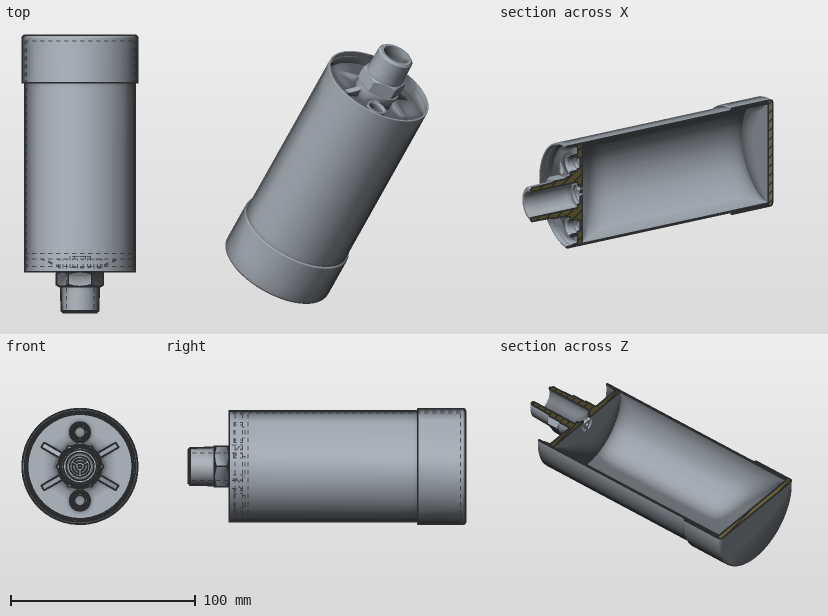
import cadquery as cq
import math

length = 150.0

cap_diameter = 62.5
cap_length = 25.8
cap_end_thickness = 3.0
cap_end_fillet = 1.8
cap_mouth_fillet = 0.5

tube_diameter = 60.0
tube_bore = 58.2
tube_front = 22.0
tube_rim_fillet = 0.3

dish_rim_setback = 3.0
dish_floor_setback = 7.0
dish_mouth_diameter = 57.6
dish_floor_diameter = 56.5
plate_thickness = 3.0

hub_diameter = 23.7
hexagon_across_flats = 22.0
hexagon_front = 14.1
hexagon_back = 22.0
hexagon_chamfer_angle = 30
nipple_root_diameter = 21.0
nipple_tip_diameter = 20.1
nipple_chamfer = 1.0

nipple_bore = 15.0
throat_diameter = 11.0
spider_outer_diameter = 8.4
spider_hub_diameter = 4.8
spider_hole_diameter = 2.0
spider_arm_width = 1.4
spider_arm_count = 3
first_arm_angle = 90
spider_thickness = 1.5

boss_diameter = 11.0
boss_mouth_diameter = 9.3
boss_bore_diameter = 8.0
boss_hole_diameter = 6.0
boss_hole_depth = 1.5
boss_offset = 18.5
boss_height = 4.6
rib_count = 6
first_rib_angle = 30
rib_width = 3.0
rib_reach = 23.2
rib_height = 4.8

tube_back = length - cap_end_thickness
dish_floor = tube_front + dish_floor_setback
dish_rim = tube_front + dish_rim_setback
plate_back = dish_floor + plate_thickness


def revolve_about_y(points):
    """Turn an outline of (radius, Y) points about the Y axis."""
    return cq.Workplane("XY").polyline(points).close().revolve(360, (0, 0, 0), (0, 1, 0))


def rod(diameter, y_start, y_end, z=0):
    """Cylinder along Y, with its axis at height z."""
    return (
        cq.Workplane("XZ", origin=(0, y_start, z))
        .circle(diameter / 2)
        .extrude(y_start - y_end)
    )


def make_cap():
    cap_front = length - cap_length
    cap = rod(cap_diameter, cap_front, length)
    cap = cap.faces(">Y").edges().fillet(cap_end_fillet)
    cap = cap.faces("<Y").edges().fillet(cap_mouth_fillet)
    return cap.cut(rod(tube_diameter, cap_front, tube_back))


def make_tube():
    tube = rod(tube_diameter, tube_front, tube_back).faces("<Y").edges().fillet(tube_rim_fillet)
    return tube.cut(rod(tube_bore, tube_front, tube_back))


def make_dish():
    return revolve_about_y([
        (0, dish_floor),
        (dish_floor_diameter / 2, dish_floor),
        (dish_mouth_diameter / 2, dish_rim),
        (tube_bore / 2, dish_rim),
        (tube_bore / 2, plate_back),
        (0, plate_back),
    ])


def make_hexagon():
    """Hexagon with flats facing +Z and -Z, its corners chamfered at both ends."""
    corner_diameter = hexagon_across_flats / math.cos(math.radians(30))
    hexagon = (
        cq.Workplane("XZ", origin=(0, hexagon_front, 0))
        .polygon(6, corner_diameter)
        .extrude(hexagon_front - hexagon_back)
    )
    corner = corner_diameter / 2
    face = hexagon_across_flats / 2
    chamfer_height = (corner - face) * math.tan(math.radians(hexagon_chamfer_angle))
    envelope = revolve_about_y([
        (0, hexagon_front),
        (face, hexagon_front),
        (corner, hexagon_front + chamfer_height),
        (corner, hexagon_back - chamfer_height),
        (face, hexagon_back),
        (0, hexagon_back),
    ])
    return hexagon.intersect(envelope)


def make_nipple():
    """Tapered nipple with a chamfered tip."""
    tip = nipple_tip_diameter / 2
    return revolve_about_y([
        (0, 0),
        (tip - nipple_chamfer, 0),
        (tip, nipple_chamfer),
        (nipple_root_diameter / 2, hexagon_front),
        (0, hexagon_front),
    ])


def make_rib(angle):
    """Triangular rib that slopes from the hub down to the dish floor."""
    return (
        cq.Workplane("XY", origin=(0, 0, -rib_width / 2))
        .polyline([
            (0, dish_floor),
            (rib_reach, dish_floor),
            (hub_diameter / 2, dish_floor - rib_height),
            (0, dish_floor - rib_height),
        ])
        .close()
        .extrude(rib_width)
        .rotate((0, 0, 0), (0, 1, 0), angle)
    )


def make_boss_hole(z):
    """Countersunk bore down to the dish floor, with a smaller blind hole beyond it."""
    boss_front = dish_floor - boss_height
    mouth = boss_mouth_diameter / 2
    bore = boss_bore_diameter / 2
    hole = boss_hole_diameter / 2
    return revolve_about_y([
        (0, boss_front),
        (mouth, boss_front),
        (bore, boss_front + mouth - bore),
        (bore, dish_floor),
        (hole, dish_floor),
        (hole, dish_floor + boss_hole_depth),
        (0, dish_floor + boss_hole_depth),
    ]).translate((0, 0, z))


def make_spider():
    """Cutter for the slots and centre hole of the spider at the end of the passage."""
    spider_front = plate_back - spider_thickness
    slots = rod(spider_outer_diameter, spider_front, plate_back)
    slots = slots.cut(rod(spider_hub_diameter, spider_front, plate_back))
    for index in range(spider_arm_count):
        arm = (
            cq.Workplane("XY")
            .box(spider_outer_diameter / 2, spider_thickness, spider_arm_width, centered=(False, False, True))
            .translate((0, spider_front, 0))
            .rotate((0, 0, 0), (0, 1, 0), first_arm_angle + index * 360 / spider_arm_count)
        )
        slots = slots.cut(arm)
    return slots.union(rod(spider_hole_diameter, spider_front, plate_back))


def make_base():
    base = make_dish()
    base = base.union(rod(hub_diameter, hexagon_back, plate_back))
    base = base.union(make_hexagon())
    base = base.union(make_nipple())
    for index in range(rib_count):
        base = base.union(make_rib(first_rib_angle + index * 360 / rib_count))
    for z in (-boss_offset, boss_offset):
        base = base.union(rod(boss_diameter, dish_floor - boss_height, dish_floor, z))
        base = base.cut(make_boss_hole(z))
    base = base.cut(rod(nipple_bore, 0, dish_floor))
    base = base.cut(rod(throat_diameter, dish_floor, plate_back - spider_thickness))
    return base.cut(make_spider())


cap = make_cap()
tube = make_tube()
base = make_base()

result = cq.Compound.makeCompound([cap.val(), tube.val(), base.val()])